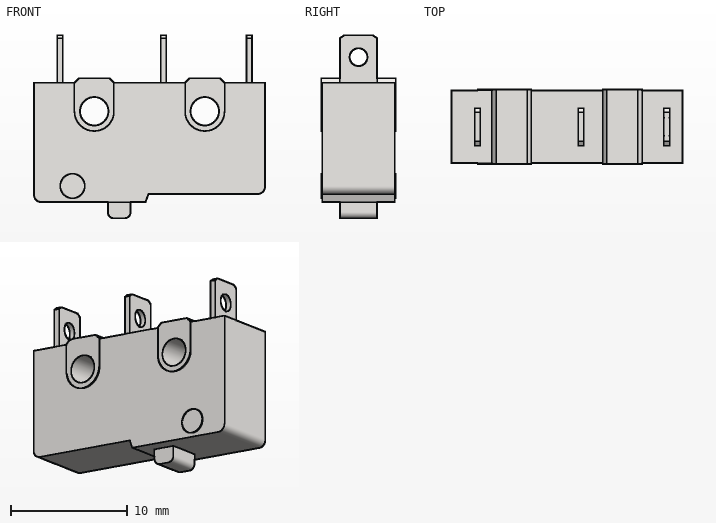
import cadquery as cq

LENGTH = 19.89
DEPTH = 6.25
HEIGHT = 10.28
CORNER_RADIUS = 0.64
STEP_HEIGHT = 0.7
STEP_START_X = -0.34
STEP_END_X = -0.08

PAD_RAISE = 0.1
FULL_DEPTH = DEPTH + 2 * PAD_RAISE
PAD_WIDTH = 3.4
PAD_RADIUS = PAD_WIDTH / 2
PAD_RISE = 0.38
PAD_SPACING = 9.5
HOLE_Z = 7.82
HOLE_DIAMETER = 2.43

DISC_X = -6.62
DISC_Z = 1.4
DISC_DIAMETER = 2.1

TAB_WIDTH = 3.22
PLUNGER_X = -2.6
PLUNGER_LENGTH = 1.97
PLUNGER_DROP = 1.4
PLUNGER_RADIUS = 0.52

TERMINAL_POSITIONS = (-7.7, 1.21, 8.57)
TERMINAL_THICKNESS = 0.5
TERMINAL_HEIGHT = 4.08
TERMINAL_CHAMFER_Y = 0.38
TERMINAL_CHAMFER_Z = 0.25
TERMINAL_HOLE_DIAMETER = 1.51
TERMINAL_HOLE_DROP = 1.89

EMBED = 0.2


def make_housing():
    """Block with a stepped underside and rounded lower end corners."""
    half = LENGTH / 2
    profile = [
        (-half, 0),
        (STEP_START_X, 0),
        (STEP_END_X, STEP_HEIGHT),
        (half, STEP_HEIGHT),
        (half, HEIGHT),
        (-half, HEIGHT),
    ]
    block = cq.Workplane("XZ").polyline(profile).close().extrude(DEPTH / 2, both=True)
    for end in ("<X", ">X"):
        block = block.faces(end).edges("<Z").fillet(CORNER_RADIUS)
    return block


def make_pad(x):
    """Pad with a round lower end and a chamfered top above the housing."""
    top = HEIGHT + PAD_RISE
    return (
        cq.Workplane("XZ")
        .moveTo(x - PAD_RADIUS, HOLE_Z)
        .threePointArc((x, HOLE_Z - PAD_RADIUS), (x + PAD_RADIUS, HOLE_Z))
        .lineTo(x + PAD_RADIUS, HEIGHT)
        .lineTo(x + PAD_RADIUS - PAD_RISE, top)
        .lineTo(x - PAD_RADIUS + PAD_RISE, top)
        .lineTo(x - PAD_RADIUS, HEIGHT)
        .close()
        .extrude(FULL_DEPTH / 2, both=True)
    )


def make_cylinder_along_y(x, z, diameter):
    """Cylinder through the full depth, centred on the mid plane."""
    return cq.Workplane("XZ").center(x, z).circle(diameter / 2).extrude(FULL_DEPTH / 2, both=True)


def make_plunger():
    """Button below the housing with rounded lower edges."""
    return (
        cq.Workplane("XY")
        .box(PLUNGER_LENGTH, TAB_WIDTH, PLUNGER_DROP + EMBED, centered=(True, True, False))
        .translate((PLUNGER_X, 0, -PLUNGER_DROP))
        .faces("<Z")
        .edges("|Y")
        .fillet(PLUNGER_RADIUS)
    )


def make_terminal(x):
    """Upright blade with chamfered top corners and a wire hole."""
    half = TAB_WIDTH / 2
    bottom = HEIGHT - EMBED
    top = HEIGHT + TERMINAL_HEIGHT
    profile = [
        (-half, bottom),
        (half, bottom),
        (half, top - TERMINAL_CHAMFER_Z),
        (half - TERMINAL_CHAMFER_Y, top),
        (-half + TERMINAL_CHAMFER_Y, top),
        (-half, top - TERMINAL_CHAMFER_Z),
    ]
    blade = cq.Workplane("YZ").polyline(profile).close().extrude(TERMINAL_THICKNESS / 2, both=True)
    hole = (
        cq.Workplane("YZ")
        .center(0, top - TERMINAL_HOLE_DROP)
        .circle(TERMINAL_HOLE_DIAMETER / 2)
        .extrude(TERMINAL_THICKNESS, both=True)
    )
    return blade.cut(hole).translate((x, 0, 0))


result = make_housing().union(make_plunger())
result = result.union(make_cylinder_along_y(DISC_X, DISC_Z, DISC_DIAMETER))

for pad_x in (-PAD_SPACING / 2, PAD_SPACING / 2):
    result = result.union(make_pad(pad_x))
    result = result.cut(make_cylinder_along_y(pad_x, HOLE_Z, HOLE_DIAMETER))

for terminal_x in TERMINAL_POSITIONS:
    result = result.union(make_terminal(terminal_x))